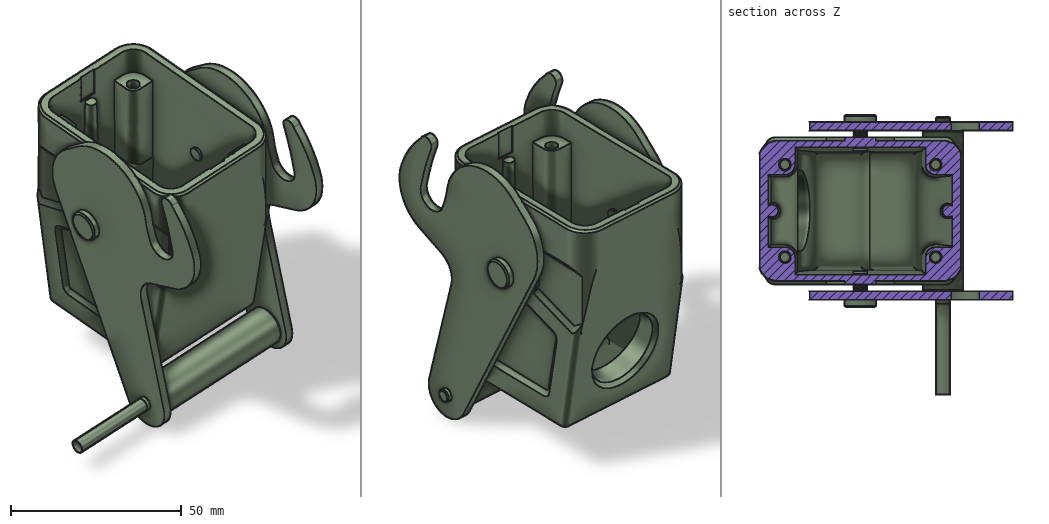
import cadquery as cq
import math


HALF_LENGTH = 30.1
HALF_WIDTH = 21.55
HOOD_HEIGHT = 72.2
RIM_CORNER_RADIUS = 7.6
RIM_CHAMFER = 0.7
UPPER_BEND_Z = 61.0
LOWER_BEND_Z = 42.3
LOWER_BEND_HALF_LENGTH = 28.0
BASE_HALF_LENGTH = 21.55
LOWER_EDGE_RADIUS = 2.1
END_SLOPE = (LOWER_BEND_HALF_LENGTH - BASE_HALF_LENGTH) / LOWER_BEND_Z

PANEL_DEPTH = 1.0
PANEL_HALF_LENGTH = 24.95
PANEL_TOP_Z = 57.4
PANEL_TOP_BEVEL = 1.6
PANEL_END_RUN = 5.7
PANEL_END_SLOPE = 0.32
GABLE_EDGE_Z = 36.0
GABLE_SLOPE = 0.36
GABLE_PEAK_Z = GABLE_EDGE_Z + PANEL_HALF_LENGTH * GABLE_SLOPE
SHOULDER_STEEPNESS = 2.0
BOSS_RADIUS = 9.9

POCKET_BASE_Z = 8.1
POCKET_BASE_HALF_LENGTH = 14.9
POCKET_TOP_Z = 32.0
POCKET_TOP_HALF_LENGTH = 18.9
POCKET_DEPTH = 1.1
POCKET_BEVEL = 1.6
POCKET_CORNER_RADIUS = 2.6

OPENING_HALF_LENGTH = 27.1
OPENING_HALF_WIDTH = 18.7
OPENING_CORNER_RADIUS = 4.9
OPENING_DEPTH = 9.1
LEDGE_Z = HOOD_HEIGHT - OPENING_DEPTH
FLOOR_Z = 2.8
FLOOR_HALF_WIDTH = 17.2
RAISED_FLOOR_Z = 4.7
FLOOR_STEP_START_X = 0.5
FLOOR_STEP_END_X = 2.7
FAR_FLOOR_X = 16.3
FAR_BEND_X = 26.5
FLOOR_RADIUS = 0.9
SHELF_Z = 35.4
SHELF_BACK_X = -26.1
SHELF_EDGE_RADIUS = 2.1
SHELF_FRONT_X = -18.2
BLOCK_FLOOR_X = -13.0
WALL_SLOPE = 0.25

POST_X = 22.0
POST_Y = 13.5
POST_REACH = 2.8
POST_OVERLAP = 9.45
POST_TAPER = 1.5
POST_HOLE_MOUTH_DIAMETER = 3.9
POST_HOLE_END_DIAMETER = 2.9
POST_HOLE_DEPTH = 14.2
RIB_X = 25.8
RIB_RADIUS = 1.7
RIB_TOP_Z = 62.4
RIB_TAPER = 1.5
RIB_SLOT_WIDTH = 5.5
RIB_SLOT_DEPTH = 0.4

ENTRY_Z = 20.1
ENTRY_DIAMETER = 23.8
ENTRY_MOUTH_DIAMETER = 26.1
ENTRY_BEVEL_DEPTH = 1.4
ENTRY_DEPTH = 13.2

PIVOT_Z = 47.3
PLATE_INNER_Y = 23.4
PLATE_THICKNESS = 2.55
PLATE_OUTER_Y = PLATE_INNER_Y + PLATE_THICKNESS

SCREW_HEAD_DIAMETER = 9.3
SCREW_HEAD_HEIGHT = 2.2
SCREW_HEAD_CHAMFER = 0.5
THREAD_RADIUS = 2.1
THREAD_DEPTH = 0.4
THREAD_PITCH = 0.7
SCREW_TIP_Y = 17.6

PIN_X = 24.2
PIN_Z = -7.5
ROLLER_DIAMETER = 11.9
ROLLER_CHAMFER = 0.4
PIN_DIAMETER = 4.2
PIN_HEAD_END_Y = 27.5
PIN_HEAD_CHAMFER = 0.4
HANDLE_END_Y = -53.7
HANDLE_COLLAR = 1.1
HANDLE_WALL = 0.2

BIG = 94.5


def mirrored_in_y(body):
    return body.union(body.mirror("XZ"))


def prism_along_y(points, half_depth):
    """Straight-sided outline in X and Z, extruded equally to both sides of Y = 0."""
    return cq.Workplane("XZ").polyline(points).close().extrude(half_depth, both=True)


def rounded_block(half_length, half_width, radius, bottom, top):
    block = cq.Workplane("XY").workplane(offset=bottom).rect(2 * half_length, 2 * half_width)
    return block.extrude(top - bottom).edges("|Z").fillet(radius)


def rod(x, z, diameter, y_start, y_end):
    """Round bar along Y."""
    plane = cq.Plane(origin=(x, y_start, z), xDir=(1, 0, 0), normal=(0, 1, 0))
    return cq.Workplane(plane).circle(diameter / 2).extrude(y_end - y_start)


def symmetric_outline(right_side):
    """Close an outline whose right half is given from bottom to top."""
    return right_side + [(-x, z) for x, z in reversed(right_side) if x > 0]



def end_wall_envelope():
    """Side outline of the hood, as wide as the hood."""
    return prism_along_y(symmetric_outline([
        (BASE_HALF_LENGTH, 0),
        (LOWER_BEND_HALF_LENGTH, LOWER_BEND_Z),
        (HALF_LENGTH, UPPER_BEND_Z),
        (HALF_LENGTH, HOOD_HEIGHT),
    ]), HALF_WIDTH)


def upper_hood():
    block = rounded_block(HALF_LENGTH, HALF_WIDTH, RIM_CORNER_RADIUS, GABLE_EDGE_Z, HOOD_HEIGHT)
    return block.faces(">Z").chamfer(RIM_CHAMFER)


def panel_recess():
    """Material removed from the +Y side to leave the recessed panel with bevelled ends and top."""
    floor_y = HALF_WIDTH - PANEL_DEPTH
    end_x = PANEL_HALF_LENGTH + PANEL_END_RUN
    end_y = floor_y - PANEL_END_RUN * PANEL_END_SLOPE
    in_plan = cq.Workplane("XY").polyline([
        (-PANEL_HALF_LENGTH, floor_y),
        (PANEL_HALF_LENGTH, floor_y),
        (end_x, end_y),
        (end_x, BIG),
        (-end_x, BIG),
        (-end_x, end_y),
    ]).close().extrude(HOOD_HEIGHT)
    bevel_rise = PANEL_TOP_BEVEL / PANEL_DEPTH
    low_y = floor_y - PANEL_DEPTH
    high_y = HALF_WIDTH + PANEL_DEPTH
    from_end = cq.Workplane("YZ").polyline([
        (low_y, 0),
        (high_y, 0),
        (high_y, PANEL_TOP_Z + bevel_rise * (high_y - floor_y)),
        (low_y, PANEL_TOP_Z + bevel_rise * (low_y - floor_y)),
    ]).close().extrude(BIG, both=True)
    return in_plan.intersect(from_end)


def below_shoulder():
    """Everything on the +Y side below the gable line and its shoulder.

    The shoulder falls from the middle of the hood outwards, so it meets the side wall at the gable line.
    """
    outline = symmetric_outline([
        (BIG, -BIG),
        (BIG, GABLE_EDGE_Z),
        (PANEL_HALF_LENGTH, GABLE_EDGE_Z),
        (0, GABLE_PEAK_Z),
    ])
    wire = cq.Workplane("XZ", origin=(0, HALF_WIDTH, 0)).polyline(outline).close().val()
    inwards = cq.Vector(0, -HALF_WIDTH, HALF_WIDTH * SHOULDER_STEEPNESS)
    return cq.Workplane(cq.Solid.extrudeLinear(wire, [], inwards))


def lower_hood():
    block = prism_along_y(symmetric_outline([
        (BASE_HALF_LENGTH, 0),
        (BASE_HALF_LENGTH + END_SLOPE * GABLE_PEAK_Z, GABLE_PEAK_Z),
    ]), HALF_WIDTH)
    block = block.faces("not >Z").edges("not >Z").fillet(LOWER_EDGE_RADIUS)
    return block.intersect(mirrored_in_y(below_shoulder()))


def side_pocket():
    """Bevelled pocket cutter for the -Y side."""
    peak = POCKET_TOP_Z + POCKET_TOP_HALF_LENGTH * GABLE_SLOPE
    outline = symmetric_outline([
        (POCKET_BASE_HALF_LENGTH, POCKET_BASE_Z),
        (POCKET_TOP_HALF_LENGTH, POCKET_TOP_Z),
        (0, peak),
    ])
    sketch = cq.Sketch().polygon(outline + outline[:1]).vertices().fillet(POCKET_CORNER_RADIUS)
    plane = cq.Plane(origin=(0, -HALF_WIDTH, 0), xDir=(-1, 0, 0), normal=(0, 1, 0))
    taper = math.degrees(math.atan2(POCKET_BEVEL, POCKET_DEPTH))
    return cq.Workplane(plane).placeSketch(sketch).extrude(POCKET_DEPTH, taper=taper)


def hood_outside():
    lower = lower_hood().cut(mirrored_in_y(side_pocket()))
    upper = upper_hood().cut(mirrored_in_y(panel_recess()))
    boss = rod(0, PIVOT_Z, 2 * BOSS_RADIUS, -HALF_WIDTH, HALF_WIDTH)
    return upper.union(lower).union(boss).intersect(end_wall_envelope())



def screw_posts():
    posts = None
    flank_x = POST_X - POST_REACH
    flank_y = POST_Y - POST_REACH
    length = OPENING_HALF_LENGTH + POST_OVERLAP - flank_x
    for side_x in (-1, 1):
        for side_y in (-1, 1):
            centre_x = side_x * (flank_x + length / 2)
            centre_y = side_y * (flank_y + length / 2)
            sketch = cq.Sketch().rect(length, length).vertices().fillet(POST_REACH)
            post = (
                cq.Workplane("XY", origin=(centre_x, centre_y, LEDGE_Z))
                .placeSketch(sketch).extrude(-LEDGE_Z, taper=-POST_TAPER)
            )
            posts = post if posts is None else posts.union(post)
    return posts


def guide_ribs():
    return (
        cq.Workplane("XY", origin=(0, 0, RIB_TOP_Z))
        .pushPoints([(-RIB_X, 0), (RIB_X, 0)])
        .circle(RIB_RADIUS).extrude(-RIB_TOP_Z, taper=-RIB_TAPER)
    )


def cavity():
    block_bend_z = FLOOR_Z + (SHELF_FRONT_X - BLOCK_FLOOR_X) / -WALL_SLOPE
    far_bend_z = RAISED_FLOOR_Z + (FAR_BEND_X - FAR_FLOOR_X) / WALL_SLOPE
    lengthwise = prism_along_y([
        (-OPENING_HALF_LENGTH, LEDGE_Z),
        (SHELF_BACK_X, SHELF_Z),
        (SHELF_FRONT_X, SHELF_Z),
        (SHELF_FRONT_X, block_bend_z),
        (BLOCK_FLOOR_X, FLOOR_Z),
        (FLOOR_STEP_START_X, FLOOR_Z),
        (FLOOR_STEP_END_X, RAISED_FLOOR_Z),
        (FAR_FLOOR_X, RAISED_FLOOR_Z),
        (FAR_BEND_X, far_bend_z),
        (OPENING_HALF_LENGTH, LEDGE_Z),
    ], HALF_WIDTH)
    shelf_edge = cq.selectors.NearestToPointSelector((SHELF_FRONT_X, 0, SHELF_Z))
    lengthwise = lengthwise.edges(shelf_edge).fillet(SHELF_EDGE_RADIUS)
    crosswise = cq.Workplane("YZ").polyline([
        (-FLOOR_HALF_WIDTH, FLOOR_Z),
        (FLOOR_HALF_WIDTH, FLOOR_Z),
        (OPENING_HALF_WIDTH, LEDGE_Z),
        (-OPENING_HALF_WIDTH, LEDGE_Z),
    ]).close().extrude(BIG, both=True)
    hollow = lengthwise.intersect(crosswise)
    floor_edges = cq.selectors.BoxSelector(
        (BLOCK_FLOOR_X - 0.9, -HALF_WIDTH, 0),
        (FLOOR_STEP_START_X + 0.9, HALF_WIDTH, FLOOR_Z + 0.9),
    )
    raised_floor_edges = cq.selectors.BoxSelector(
        (FLOOR_STEP_END_X + 0.9, -HALF_WIDTH, 0),
        (FAR_FLOOR_X + 0.9, HALF_WIDTH, RAISED_FLOOR_Z + 0.9),
    )
    hollow = hollow.edges(floor_edges).fillet(FLOOR_RADIUS)
    hollow = hollow.edges(raised_floor_edges).fillet(FLOOR_RADIUS)
    return hollow.cut(screw_posts()).cut(guide_ribs())


def opening():
    mouth = rounded_block(
        OPENING_HALF_LENGTH, OPENING_HALF_WIDTH, OPENING_CORNER_RADIUS, LEDGE_Z, HOOD_HEIGHT
    )
    slots = cq.Workplane("XY").box(
        2 * (OPENING_HALF_LENGTH + RIB_SLOT_DEPTH), RIB_SLOT_WIDTH, OPENING_DEPTH,
    ).translate((0, 0, LEDGE_Z + OPENING_DEPTH / 2))
    return mouth.union(slots)


def post_holes():
    centres = [(x, y) for x in (-POST_X, POST_X) for y in (-POST_Y, POST_Y)]
    draft = (POST_HOLE_MOUTH_DIAMETER - POST_HOLE_END_DIAMETER) / 2
    return (
        cq.Workplane("XY", origin=(0, 0, LEDGE_Z)).pushPoints(centres)
        .circle(POST_HOLE_MOUTH_DIAMETER / 2)
        .extrude(-POST_HOLE_DEPTH, taper=math.degrees(math.atan2(draft, POST_HOLE_DEPTH)))
    )


def cable_entry():
    wall_x = -(BASE_HALF_LENGTH + END_SLOPE * ENTRY_Z)
    wall = cq.Plane(origin=(wall_x, 0, ENTRY_Z), xDir=(0, 1, 0), normal=(1, 0, END_SLOPE))
    bore = cq.Workplane(wall).circle(ENTRY_DIAMETER / 2).extrude(ENTRY_DEPTH)
    bevel = (
        cq.Workplane(wall).circle(ENTRY_MOUTH_DIAMETER / 2)
        .workplane(offset=ENTRY_BEVEL_DEPTH).circle(ENTRY_DIAMETER / 2)
        .loft()
    )
    return bore.union(bevel)


def hood():
    body = hood_outside()
    for hollow in (opening(), cavity(), post_holes(), cable_entry()):
        body = body.cut(hollow)
    return body



def on_circle(circle, direction):
    """Point of a (centre x, centre z, radius) circle in a unit direction from its centre."""
    x, z, radius = circle
    return (x + radius * direction[0], z + radius * direction[1])


def at_angle(circle, degrees):
    angle = math.radians(degrees)
    return on_circle(circle, (math.cos(angle), math.sin(angle)))


def tangent_line(first, second, crossing=False):
    """Ends of the tangent from one circle to the next, with the first circle on its left hand side.

    A crossing tangent has the second circle on the other side of the line.
    """
    sign = -1 if crossing else 1
    run = (second[0] - first[0], second[1] - first[1])
    distance = math.hypot(*run)
    heading = math.atan2(run[1], run[0])
    angle = heading - math.acos((first[2] - sign * second[2]) / distance)
    normal = (math.cos(angle), math.sin(angle))
    return on_circle(first, normal), on_circle(second, (sign * normal[0], sign * normal[1]))


def hook_low_tangent(waist, hook):
    """Crossing tangent under the hook, given as its ends on the hook and on the waist circle."""
    hook_end, waist_end = tangent_line(
        (-hook[0], hook[1], hook[2]), (-waist[0], waist[1], waist[2]), crossing=True
    )
    return (-hook_end[0], hook_end[1]), (-waist_end[0], waist_end[1])


def lever_plate():
    """One lever cheek on the +Y side; its outline runs counter-clockwise from the free end."""
    free_end = (PIN_X, PIN_Z - PIVOT_Z, 7.9)
    waist = (29.9, -13.3, 7.75)
    hook = (30.15, 11.2, 14.65)
    hook_tip = (33.3, 28.7, 2.4)
    slot = (30.7, 11.6, 4.9)
    cam = (7.1, 14.6, 17.3)
    back = (0.8, 11.0, 15.8)
    outer_bulge = (41.4, 21.8)
    inner_bulge = (33.7, 19.8)
    cam_bulge = (25.1, 12.9)

    end_right, waist_low = tangent_line(free_end, waist, crossing=True)
    hook_low, waist_high = hook_low_tangent(waist, hook)
    hook_high = at_angle(hook, 20)
    tip_right = at_angle(hook_tip, 25)
    tip_left = at_angle(hook_tip, 200)
    slot_right = at_angle(slot, 20)
    slot_left = at_angle(slot, 208)
    cam_right = at_angle(cam, 7)
    cam_left, back_top = tangent_line(cam, back)
    back_low, end_left = tangent_line(back, free_end)

    outline = (
        cq.Workplane("XZ", origin=(0, PLATE_OUTER_Y, PIVOT_Z))
        .moveTo(*end_right)
        .lineTo(*waist_low)
        .threePointArc(at_angle(waist, 180), waist_high)
        .lineTo(*hook_low)
        .threePointArc(at_angle(hook, -25), hook_high)
        .threePointArc(outer_bulge, tip_right)
        .threePointArc(at_angle(hook_tip, 100), tip_left)
        .threePointArc(inner_bulge, slot_right)
        .threePointArc(at_angle(slot, -90), slot_left)
        .threePointArc(cam_bulge, cam_right)
        .threePointArc(at_angle(cam, 80), cam_left)
        .lineTo(*back_top)
        .threePointArc(at_angle(back, 180), back_low)
        .lineTo(*end_left)
        .threePointArc(at_angle(free_end, -90), end_right)
        .close()
    )
    return outline.extrude(PLATE_THICKNESS)


def pivot_screw():
    """Screw on the +Y side; thread ridges show between the hood and the lever cheek."""
    head_end = PLATE_OUTER_Y + SCREW_HEAD_HEIGHT
    head = rod(0, PIVOT_Z, SCREW_HEAD_DIAMETER, PLATE_OUTER_Y, head_end)
    head = head.faces(">Y").chamfer(SCREW_HEAD_CHAMFER)
    tip = rod(0, PIVOT_Z, 2 * THREAD_RADIUS, SCREW_TIP_Y, HALF_WIDTH)
    root_radius = THREAD_RADIUS - THREAD_DEPTH
    shank = rod(0, PIVOT_Z, 2 * root_radius, SCREW_TIP_Y, PLATE_OUTER_Y)
    screw = head.union(tip).union(shank)
    ridge_count = math.ceil((PLATE_INNER_Y - HALF_WIDTH) / THREAD_PITCH)
    for i in range(ridge_count):
        start = HALF_WIDTH + i * THREAD_PITCH
        ridge = (
            cq.Workplane("XY", origin=(0, 0, PIVOT_Z))
            .polyline([
                (0, start),
                (root_radius, start),
                (THREAD_RADIUS, start + THREAD_PITCH / 2),
                (root_radius, start + THREAD_PITCH),
                (0, start + THREAD_PITCH),
            ]).close()
            .revolve(360, (0, 0, 0), (0, 1, 0))
        )
        screw = screw.union(ridge)
    return screw


def roller_and_pin():
    roller = rod(PIN_X, PIN_Z, ROLLER_DIAMETER, -PLATE_INNER_Y, PLATE_INNER_Y)
    roller = roller.faces("<Y or >Y").chamfer(ROLLER_CHAMFER)
    pin = rod(PIN_X, PIN_Z, PIN_DIAMETER, HANDLE_END_Y, PIN_HEAD_END_Y)
    pin = pin.faces(">Y").chamfer(PIN_HEAD_CHAMFER)
    bore_end = -PLATE_OUTER_Y - HANDLE_COLLAR
    bore = rod(PIN_X, PIN_Z, PIN_DIAMETER - 2 * HANDLE_WALL, HANDLE_END_Y, bore_end)
    return roller.union(pin).cut(bore)


result = (
    hood()
    .union(mirrored_in_y(lever_plate()))
    .union(mirrored_in_y(pivot_screw()))
    .union(roller_and_pin())
)